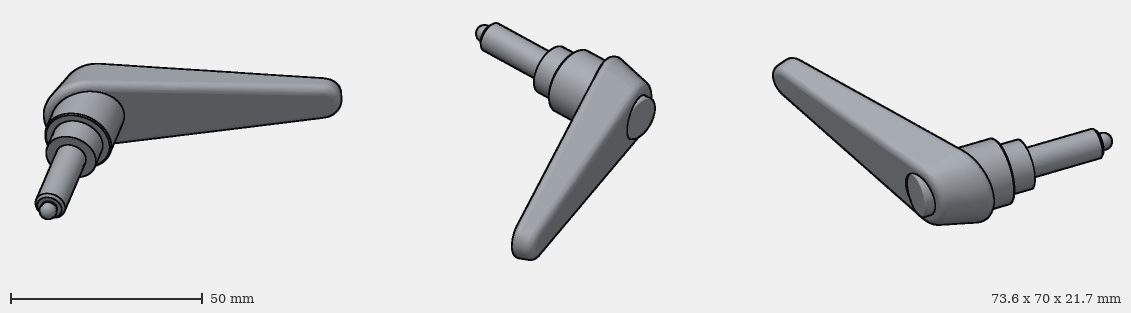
import cadquery as cq
import math


HUB_END_RADIUS = 13.4
TIP_HALF_WIDTH = 12.3
TIP_DEPTH = 4.85
TIP_CENTRE_X = 67.4
TIP_LEAN = 0.3
DRAFT = math.tan(math.radians(12))
ARM_BLANK_HEIGHT = 44.1
UNDERSIDE_Y = 9.85
UNDERSIDE_SLOPE = math.tan(math.radians(20))
UPPER_Y = 23.1
UPPER_SLOPE = math.tan(math.radians(14.5))
ARM_EDGE_RADIUS = 2.0
TRIM_START_X = -22.05
TRIM_END_X = 80.85
TRIM_WIDTH = 44.1

HUB_RADIUS = 9.0
HUB_TOP_Y = 14.7
HUB_CHAMFER = 0.4

CORE_RADIUS = 5.95
CORE_TOP_Y = 24.3
CORE_EDGE_RADIUS = 0.45
COLLAR_RADIUS = 6.75
COLLAR_END_Y = -6.7
STUD_RADIUS = 4.05
STUD_END_Y = -27.9
STUD_CHAMFER = 0.7
NECK_RADIUS = 2.05
BALL_RADIUS = 2.3
BALL_END_Y = -31.6


def teardrop(y):
    """Closed outline at height y: a round hub end, straight sides and an elliptical tip."""
    hub_radius = HUB_END_RADIUS - DRAFT * y
    tip_half_width = TIP_HALF_WIDTH - DRAFT * y
    tip_x = TIP_CENTRE_X - TIP_LEAN * y
    return (
        cq.Workplane("XZ", origin=(0, y, 0))
        .moveTo(0, hub_radius)
        .threePointArc((-hub_radius, 0), (0, -hub_radius))
        .lineTo(tip_x, -tip_half_width)
        .ellipseArc(TIP_DEPTH, tip_half_width, -90, 90, startAtCurrent=True)
        .close()
        .val()
    )


def make_arm():
    blank = cq.Solid.makeLoft([teardrop(0), teardrop(ARM_BLANK_HEIGHT)], True)
    corners = [
        (x, height + slope * x)
        for x, height, slope in (
            (TRIM_START_X, UNDERSIDE_Y, UNDERSIDE_SLOPE),
            (TRIM_END_X, UNDERSIDE_Y, UNDERSIDE_SLOPE),
            (TRIM_END_X, UPPER_Y, UPPER_SLOPE),
            (TRIM_START_X, UPPER_Y, UPPER_SLOPE),
        )
    ]
    wedge = cq.Workplane("XY").polyline(corners).close().extrude(TRIM_WIDTH / 2, both=True)
    arm = wedge.intersect(cq.Workplane(blank))
    upper_normal = cq.Vector(-UPPER_SLOPE, 1, 0)
    underside_normal = cq.Vector(UNDERSIDE_SLOPE, -1, 0)
    return (
        arm.faces(cq.selectors.DirectionMinMaxSelector(upper_normal, True))
        .edges()
        .fillet(ARM_EDGE_RADIUS)
        .faces(cq.selectors.DirectionMinMaxSelector(underside_normal, True))
        .edges()
        .fillet(ARM_EDGE_RADIUS)
    )


def make_lever():
    """Arm and hub in one piece, bored through for the spindle core."""
    hub = cq.Workplane("XZ").circle(HUB_RADIUS).extrude(-HUB_TOP_Y).faces("<Y").chamfer(HUB_CHAMFER)
    bore = cq.Workplane("XZ").circle(CORE_RADIUS).extrude(-ARM_BLANK_HEIGHT)
    return make_arm().union(hub).cut(bore)


def make_spindle():
    """Core, collar, stud and ball end, turned about the Y axis."""
    core = cq.Workplane("XZ").circle(CORE_RADIUS).extrude(-CORE_TOP_Y)
    core = core.faces(">Y").edges().fillet(CORE_EDGE_RADIUS)
    collar = cq.Workplane("XZ").circle(COLLAR_RADIUS).extrude(-COLLAR_END_Y)
    stud = cq.Workplane("XZ").circle(STUD_RADIUS).extrude(-STUD_END_Y).faces("<Y").chamfer(STUD_CHAMFER)
    ball_y = BALL_END_Y + BALL_RADIUS
    neck = cq.Workplane("XZ").circle(NECK_RADIUS).extrude(-ball_y)
    ball = cq.Workplane("XY").sphere(BALL_RADIUS).translate((0, ball_y, 0))
    return core.union(collar).union(stud).union(neck).union(ball)


lever = make_lever()
spindle = make_spindle()
result = cq.Compound.makeCompound([lever.val(), spindle.val()])